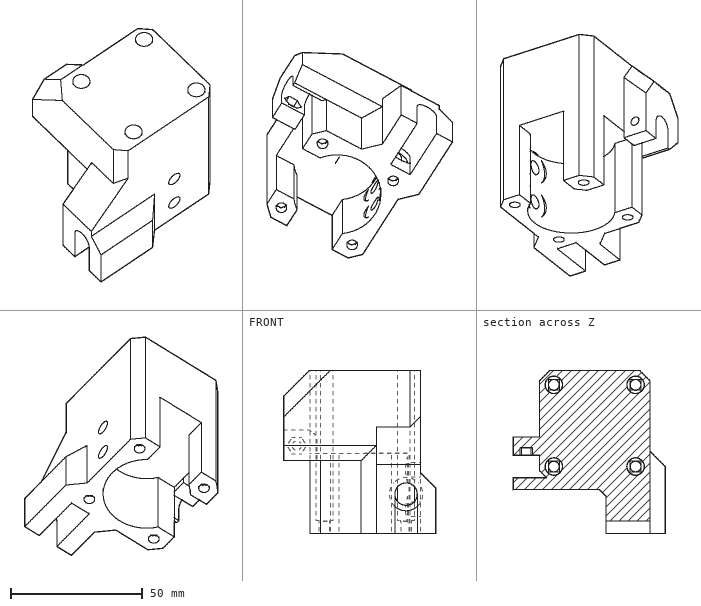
import cadquery as cq
import math

HEIGHT = 62.0
BODY_WIDTH = 42.05
BODY_HALF = BODY_WIDTH / 2
CORNER_CHAMFER = 4.0

SCREW_OFFSET = 15.5
SCREW_DIAMETER = 4.0
SCREW_HEAD_DIAMETER = 6.5
SCREW_SEAT_Z = 4.95
STEP_WIDTH = 4.1
STEP_HEIGHT = 0.2

ARM_HALF_WIDTH = 11.3
ARM_SLOT_DIAMETER = 8.5
ARM_INNER = SCREW_OFFSET - ARM_HALF_WIDTH
ARM_OUTER = SCREW_OFFSET + ARM_HALF_WIDTH
ARM_OVERHANG = ARM_OUTER - BODY_HALF

UPPER_ARM_END = -30.95
UPPER_ARM_BOTTOM = 27.7
UPPER_ARM_SHOULDER = 44.25
UPPER_ARM_TOP = 52.2
UPPER_SLOT_Z = 35.0

LOWER_ARM_END = -41.0
LOWER_ARM_TOP = 26.3
LOWER_ARM_SIDE_TOP = 17.35
LOWER_SLOT_Z = 15.0
LOWER_BORE_END = -SCREW_OFFSET
FLARE_DIAMETER = 12.65

NUT_CORNERS_DIAMETER = 7.25
NUT_DEPTH = 2.85
NUT_SCREW_DIAMETER = 3.5
NUT_Z = 33.4

CAVITY_RADIUS = 16.55
CAVITY_HEIGHT = 30.45
OPENING_WIDTH = 19.85
CROSS_HOLE_DIAMETER = 5.5
CROSS_HOLE_HEIGHTS = (9.3, 24.3)
SPOT_FACE_DIAMETER = 12.65
SPOT_FACE_CHORD = 8.05


def box(x_range, y_range, z_range):
    """Box between the given limits."""
    corner = (x_range[0], y_range[0], z_range[0])
    size = [high - low for low, high in (x_range, y_range, z_range)]
    return cq.Workplane("XY").box(*size, centered=False).translate(corner)


def cylinder(diameter, start, direction, length):
    """Cylinder from a start point along a direction."""
    solid = cq.Solid.makeCylinder(diameter / 2, length, cq.Vector(*start), cq.Vector(*direction))
    return cq.Workplane(solid)


def make_body():
    """Square column with chamfered vertical corners."""
    column = cq.Workplane("XY").rect(BODY_WIDTH, BODY_WIDTH).extrude(HEIGHT)
    return column.edges("|Z").chamfer(CORNER_CHAMFER)


def make_front_block():
    """Full-height thickening of the -Y side, from the upper arm to the +X face."""
    block = box((ARM_INNER, BODY_HALF), (-ARM_OUTER, 0), (0, HEIGHT))
    return block.edges("|Z and >X and <Y").chamfer(CORNER_CHAMFER)


def make_front_gusset():
    """45 degree fillet wedge between the body and the side of the lower arm."""
    wedge = [(ARM_INNER, -BODY_HALF), (ARM_INNER - ARM_OVERHANG, -BODY_HALF), (ARM_INNER, -ARM_OUTER)]
    return cq.Workplane("XY").polyline(wedge).close().extrude(UPPER_ARM_BOTTOM + ARM_OVERHANG)


def make_upper_arm():
    """Arm with a chamfered roof that climbs at 45 degrees into the body."""
    run = ARM_INNER - UPPER_ARM_END
    ridge = ARM_HALF_WIDTH - ARM_OVERHANG
    profile = [
        (-ARM_OUTER, UPPER_ARM_BOTTOM - run),
        (-ARM_OUTER, UPPER_ARM_SHOULDER),
        (-SCREW_OFFSET - ridge, UPPER_ARM_TOP),
        (-SCREW_OFFSET + ridge, UPPER_ARM_TOP),
        (-ARM_INNER, UPPER_ARM_SHOULDER),
        (-ARM_INNER, UPPER_ARM_BOTTOM - run),
    ]
    outline = cq.Wire.makePolygon([cq.Vector(UPPER_ARM_END, y, z) for y, z in profile], close=True)
    climbing = cq.Solid.extrudeLinear(outline, [], cq.Vector(run, 0, run))
    limits = box((UPPER_ARM_END, ARM_INNER), (-ARM_OUTER, -ARM_INNER), (UPPER_ARM_BOTTOM, HEIGHT))
    underside = limits.edges("|X and <Y and <Z").chamfer(ARM_OVERHANG)
    return underside.intersect(cq.Workplane(climbing))


def make_lower_arm():
    """Arm with a 45 degree top and a chamfered flank on its +X side."""
    slope = -ARM_OUTER - LOWER_ARM_END
    side = [
        (LOWER_ARM_END, 0),
        (LOWER_ARM_END, LOWER_ARM_TOP),
        (-ARM_OUTER, LOWER_ARM_TOP + slope),
        (-ARM_OUTER + CORNER_CHAMFER, LOWER_ARM_TOP + slope + CORNER_CHAMFER),
        (-ARM_INNER, LOWER_ARM_TOP + slope + CORNER_CHAMFER),
        (-ARM_INNER, 0),
    ]
    main = cq.Workplane("YZ").polyline(side).close().extrude(BODY_HALF - ARM_INNER)
    main = main.translate((ARM_INNER, 0, 0))
    flank = box(
        (BODY_HALF - ARM_OVERHANG, ARM_OUTER),
        (LOWER_ARM_END, -SCREW_OFFSET + ARM_OVERHANG),
        (0, LOWER_ARM_SIDE_TOP + ARM_OVERHANG),
    )
    flank = flank.edges("(|Y and >X and >Z) or (|Z and >X and >Y)").chamfer(ARM_OVERHANG)
    return main.union(flank)


def make_upper_slot():
    """Round-topped slot, open downwards, through the upper arm to the chamfered body corner."""
    radius = ARM_SLOT_DIAMETER / 2
    inner_end = -BODY_HALF + CORNER_CHAMFER
    sides = (-SCREW_OFFSET - radius, -SCREW_OFFSET + radius)
    slot = box((UPPER_ARM_END, inner_end), sides, (UPPER_ARM_BOTTOM, UPPER_SLOT_Z))
    start = (UPPER_ARM_END, -SCREW_OFFSET, UPPER_SLOT_Z)
    return slot.union(cylinder(ARM_SLOT_DIAMETER, start, (1, 0, 0), inner_end - UPPER_ARM_END))


def make_lower_slot():
    """Round-topped slot through the lower arm, then a flared blind bore in the body."""
    radius = ARM_SLOT_DIAMETER / 2
    sides = (SCREW_OFFSET - radius, SCREW_OFFSET + radius)
    slot = box(sides, (LOWER_ARM_END, -BODY_HALF), (0, LOWER_SLOT_Z))
    start = (SCREW_OFFSET, LOWER_ARM_END, LOWER_SLOT_Z)
    bore = cylinder(ARM_SLOT_DIAMETER, start, (0, 1, 0), LOWER_BORE_END - LOWER_ARM_END)
    flare_radius = FLARE_DIAMETER / 2
    flare = cq.Solid.makeCone(
        flare_radius,
        radius,
        flare_radius - radius,
        cq.Vector(SCREW_OFFSET, -BODY_HALF, LOWER_SLOT_Z),
        cq.Vector(0, 1, 0),
    )
    return slot.union(bore).union(cq.Workplane(flare))


def make_nut_trap():
    """Hexagonal nut pocket in the +Y wall of the upper slot, with its screw hole."""
    wall = -SCREW_OFFSET + ARM_SLOT_DIAMETER / 2
    centre_x = (UPPER_ARM_END - BODY_HALF) / 2
    pocket = cq.Workplane("XZ").polygon(6, NUT_CORNERS_DIAMETER).extrude(-2 * NUT_DEPTH)
    pocket = pocket.translate((centre_x, wall - NUT_DEPTH, NUT_Z))
    start = (centre_x, wall, NUT_Z)
    return pocket.union(cylinder(NUT_SCREW_DIAMETER, start, (0, 1, 0), -ARM_INNER - wall))


def make_screw_hole():
    """Deep counterbored hole whose seat steps through a strip and a square to the shank."""
    seat = SCREW_SEAT_Z
    head = cylinder(SCREW_HEAD_DIAMETER, (0, 0, seat), (0, 0, 1), HEIGHT - seat)
    strip = cq.Workplane("XY").rect(STEP_WIDTH, SCREW_HEAD_DIAMETER).extrude(STEP_HEIGHT)
    strip = strip.translate((0, 0, seat - STEP_HEIGHT))
    strip = strip.intersect(cylinder(SCREW_HEAD_DIAMETER, (0, 0, 0), (0, 0, 1), seat))
    square = cq.Workplane("XY").rect(STEP_WIDTH, STEP_WIDTH).extrude(2 * STEP_HEIGHT)
    square = square.translate((0, 0, seat - 2 * STEP_HEIGHT))
    shank = cylinder(SCREW_DIAMETER, (0, 0, 0), (0, 0, 1), seat)
    return head.union(strip).union(square).union(shank)


def make_cavity():
    """Round cavity open below, to -X and to +Y, with spot-faced cross holes in its +X wall."""
    cavity = cylinder(2 * CAVITY_RADIUS, (0, 0, 0), (0, 0, 1), CAVITY_HEIGHT)
    half_opening = OPENING_WIDTH / 2
    opening = box((-BODY_HALF, 0), (-half_opening, half_opening), (0, CAVITY_HEIGHT))
    cavity = cavity.union(opening).union(opening.rotate((0, 0, 0), (0, 0, 1), -90))
    spot_face_x = math.sqrt(CAVITY_RADIUS**2 - (SPOT_FACE_CHORD / 2) ** 2)
    for z in CROSS_HOLE_HEIGHTS:
        cavity = cavity.union(cylinder(SPOT_FACE_DIAMETER, (0, 0, z), (1, 0, 0), spot_face_x))
        cavity = cavity.union(cylinder(CROSS_HOLE_DIAMETER, (0, 0, z), (1, 0, 0), BODY_HALF))
    return cavity


upper_arm = make_upper_arm().cut(make_upper_slot()).cut(make_nut_trap())
result = make_body()
for addition in (make_front_block(), make_front_gusset(), upper_arm, make_lower_arm()):
    result = result.union(addition)

result = result.cut(make_lower_slot()).cut(make_cavity())
screw_hole = make_screw_hole()
for x in (-SCREW_OFFSET, SCREW_OFFSET):
    for y in (-SCREW_OFFSET, SCREW_OFFSET):
        result = result.cut(screw_hole.translate((x, y, 0)))